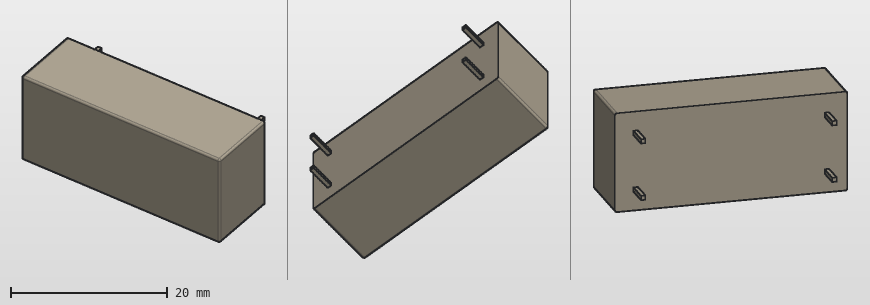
import cadquery as cq

body_length = 30.9
body_height = 13.35
overall_depth = 13.5
pin_length = 3.5
body_depth = overall_depth - pin_length
edge_radius = 0.3

pin_width = 0.6
pin_pitch_x = 25.4
pin_pitch_z = 7.63
pins_per_row = 2
pin_rows = 2


def make_body():
    """Block with its front face at Y = 0; every edge is rounded except those of the back face."""
    block = cq.Workplane("XY").box(body_length, body_depth, body_height, centered=(True, False, True))
    return block.edges("|Y or <Y").fillet(edge_radius)


def add_pins(body):
    """Grid of square pins standing out from the flat back face."""
    return (
        body.faces(">Y")
        .workplane(centerOption="CenterOfBoundBox")
        .rarray(pin_pitch_x, pin_pitch_z, pins_per_row, pin_rows)
        .rect(pin_width, pin_width)
        .extrude(pin_length)
    )


result = add_pins(make_body())